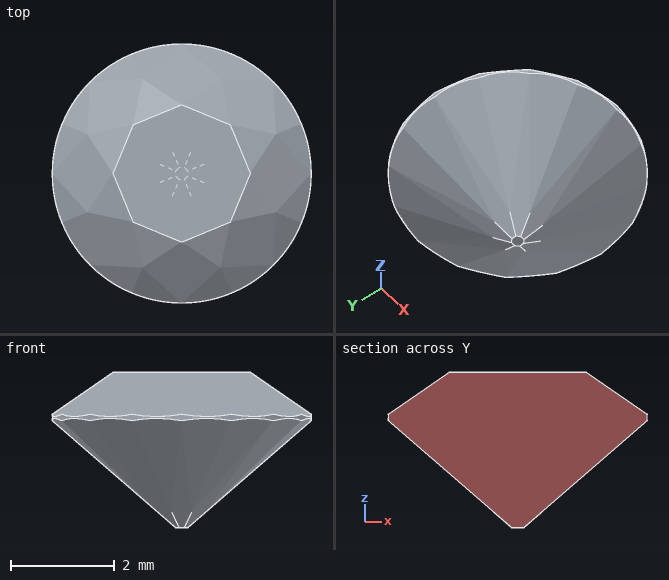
import cadquery as cq
import math

girdle_radius = 2.5
total_height = 3.0
table_radius = 1.325
culet_apothem = 0.1175
crown_girdle_z = 2.19
pavilion_girdle_z = 2.065
star_tip_radius = 1.97
lower_tip_radius = 0.5

symmetry = 8
sector = 360.0 / symmetry
half_sector = sector / 2
cutter_size = 4 * girdle_radius


def polar(radius, angle, z):
    """Point at a given radius, angle in degrees and height."""
    radians = math.radians(angle)
    return cq.Vector(radius * math.cos(radians), radius * math.sin(radians), z)


def facet_cutters(a, b, c):
    """Blocks lying outside the plane through three points, one per sector."""
    normal = (b - a).cross(c - a).normalized()
    if normal.dot(a - cq.Vector(0, 0, total_height / 2)) < 0:
        normal = -normal
    plane = cq.Plane(origin=a, xDir=b - a, normal=normal)
    block = cq.Workplane(plane).rect(cutter_size, cutter_size).extrude(cutter_size).val()
    axis_start = cq.Vector(0, 0, 0)
    axis_end = cq.Vector(0, 0, 1)
    return [block.rotate(axis_start, axis_end, i * sector) for i in range(symmetry)]


def height_on_slope(radius, start, end):
    """Height at a radius on the straight line between two (radius, z) points."""
    fraction = (radius - start[0]) / (end[0] - start[0])
    return start[1] + fraction * (end[1] - start[1])


tip_projection = math.cos(math.radians(half_sector))
star_tip_z = height_on_slope(
    star_tip_radius * tip_projection,
    (table_radius, total_height),
    (girdle_radius, crown_girdle_z),
)
lower_tip_z = height_on_slope(
    lower_tip_radius * tip_projection,
    (culet_apothem, 0),
    (girdle_radius, pavilion_girdle_z),
)


def crown_cutters():
    """Kite, star and upper girdle facets."""
    table_corner = polar(table_radius, 0, total_height)
    next_table_corner = polar(table_radius, sector, total_height)
    girdle_point = polar(girdle_radius, 0, crown_girdle_z)
    tip = polar(star_tip_radius, half_sector, star_tip_z)
    cutters = facet_cutters(table_corner, girdle_point, tip)
    cutters += facet_cutters(table_corner, next_table_corner, tip)
    for side in (-1, 1):
        angle = side * half_sector
        cutters += facet_cutters(
            girdle_point,
            polar(girdle_radius, angle, crown_girdle_z),
            polar(star_tip_radius, angle, star_tip_z),
        )
    return cutters


def pavilion_cutters():
    """Main pavilion and lower girdle facets."""
    culet_edge = polar(culet_apothem, 0, 0)
    girdle_point = polar(girdle_radius, 0, pavilion_girdle_z)
    cutters = facet_cutters(culet_edge, girdle_point, polar(lower_tip_radius, half_sector, lower_tip_z))
    for side in (-1, 1):
        angle = side * half_sector
        cutters += facet_cutters(
            girdle_point,
            polar(girdle_radius, angle, pavilion_girdle_z),
            polar(lower_tip_radius, angle, lower_tip_z),
        )
    return cutters


gem = cq.Workplane("XY").circle(girdle_radius).extrude(total_height)
for cutter in crown_cutters() + pavilion_cutters():
    gem = gem.cut(cq.Workplane(cutter))

result = gem